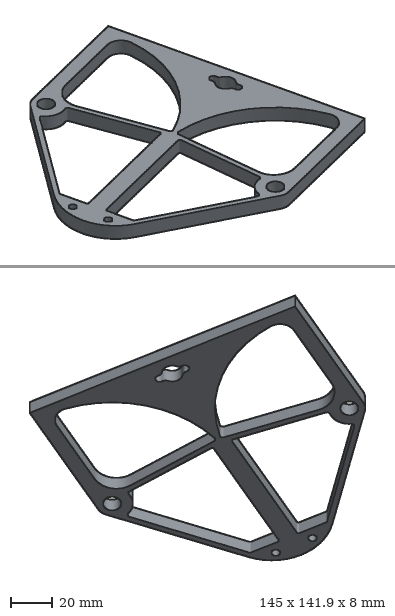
import cadquery as cq
import math

width = 145.0
thickness = 8.0
top_y = 70.0
nose_y = -71.9
nose_radius = 30.0

pivot_x = 64.8
pivot_diameter = 8.7
boss_radius = 10.0
corner_radius = width / 2 - pivot_x

strut_width = 2.9
strut_angle = math.radians(7.0)
strut_center_y = 11.0
spine_width = 10.0
lower_window_y = -59.2

upper_outer_fillet = 7.7
lower_outer_fillet = 12.0
upper_tip_fillet = 1.5
boss_fillet = 1.5
lower_window_fillet = 1.0

nose_hole_x = 10.0
nose_hole_y = -65.0
nose_hole_diameter = 4.0

keyhole_y = 59.9
keyhole_radius = 5.1
keyhole_length = 18.0
keyhole_slot_width = 4.0
keyhole_fillet = 2.8

nose_center_y = nose_y + nose_radius
center_distance = math.hypot(pivot_x, nose_center_y)
flank_angle = math.atan2(nose_center_y, pivot_x) - math.asin(
    (nose_radius - corner_radius) / center_distance
)
normal_x = math.sin(flank_angle)
normal_y = -math.cos(flank_angle)


def strut_y(x, side):
    """Height of the left strut's upper (+1) or lower (-1) edge at x."""
    half_height = strut_width / 2 / math.cos(strut_angle)
    return strut_center_y + x * math.tan(strut_angle) + side * half_height


def flank_x(y):
    """X of the inner edge of the left flank strut at height y."""
    edge_offset = corner_radius - strut_width
    return -pivot_x + (edge_offset - y * normal_y) / normal_x


def fillet_at(body, x, y, radius):
    """Round the vertical edge nearest to (x, y)."""
    nearest = cq.selectors.NearestToPointSelector((x, y, thickness / 2))
    return body.edges("|Z").edges(nearest).fillet(radius)


def disc(x, y, radius):
    return cq.Workplane("XY").center(x, y).circle(radius).extrude(thickness)


def prism(points):
    return cq.Workplane("XY").polyline(points).close().extrude(thickness)


def plate():
    """Square-topped plate with tangent flanks running into the round nose."""
    corner_end = (-pivot_x + corner_radius * normal_x, corner_radius * normal_y)
    nose_start = (nose_radius * normal_x, nose_center_y + nose_radius * normal_y)
    corner_angle = math.pi + math.atan2(-normal_y, -normal_x) / 2
    corner_middle = (
        -pivot_x + corner_radius * math.cos(corner_angle),
        corner_radius * math.sin(corner_angle),
    )
    return (
        cq.Workplane("XY")
        .moveTo(-width / 2, top_y)
        .lineTo(-width / 2, 0)
        .threePointArc(corner_middle, corner_end)
        .lineTo(*nose_start)
        .threePointArc((0, nose_y), (-nose_start[0], nose_start[1]))
        .lineTo(-corner_end[0], corner_end[1])
        .threePointArc((-corner_middle[0], corner_middle[1]), (width / 2, 0))
        .lineTo(width / 2, top_y)
        .close()
        .extrude(thickness)
    )


def upper_window():
    """Left window under an arc centered on the pivot hole."""
    arc_radius = pivot_x
    window = prism(
        [
            (-pivot_x, strut_y(-pivot_x, 1)),
            (0, strut_y(0, 1)),
            (0, top_y),
            (-pivot_x, top_y),
        ]
    ).intersect(disc(-pivot_x, 0, arc_radius))
    tip_x = -pivot_x + math.sqrt(arc_radius**2 - strut_y(0, 1) ** 2)
    window = fillet_at(window, -pivot_x, arc_radius, upper_outer_fillet)
    window = fillet_at(window, -pivot_x, strut_y(-pivot_x, 1), lower_outer_fillet)
    return fillet_at(window, tip_x, strut_y(tip_x, 1), upper_tip_fillet)


def lower_window():
    """Left window between the struts, notched by the pivot boss."""
    spine_x = -spine_width / 2
    window = prism(
        [
            (-pivot_x, strut_y(-pivot_x, -1)),
            (spine_x, strut_y(spine_x, -1)),
            (spine_x, lower_window_y),
            (flank_x(lower_window_y), lower_window_y),
            (flank_x(0), 0),
        ]
    ).cut(disc(-pivot_x, 0, boss_radius))
    boss_side = cq.selectors.BoxSelector(
        (-width, -2 * boss_radius, -thickness),
        (-pivot_x + 2 * boss_radius, 2 * boss_radius, 2 * thickness),
    )
    window = window.edges("|Z").edges(boss_side).fillet(boss_fillet)
    for corner_y in (strut_y(spine_x, -1), lower_window_y):
        window = fillet_at(window, spine_x, corner_y, lower_window_fillet)
    return fillet_at(window, flank_x(lower_window_y), lower_window_y, lower_window_fillet)


def keyhole():
    slot = (
        cq.Workplane("XY")
        .center(0, keyhole_y)
        .slot2D(keyhole_length, keyhole_slot_width)
        .extrude(thickness)
    )
    opening = disc(0, keyhole_y, keyhole_radius).union(slot)
    half_slot = keyhole_slot_width / 2
    crossing_x = math.sqrt(keyhole_radius**2 - half_slot**2)
    for x in (-crossing_x, crossing_x):
        for y in (keyhole_y - half_slot, keyhole_y + half_slot):
            opening = fillet_at(opening, x, y, keyhole_fillet)
    return opening


result = plate()
for window in (upper_window(), lower_window()):
    result = result.cut(window).cut(window.mirror("YZ"))
result = result.cut(keyhole())
for side in (-1, 1):
    result = result.cut(disc(side * pivot_x, 0, pivot_diameter / 2))
    result = result.cut(disc(side * nose_hole_x, nose_hole_y, nose_hole_diameter / 2))